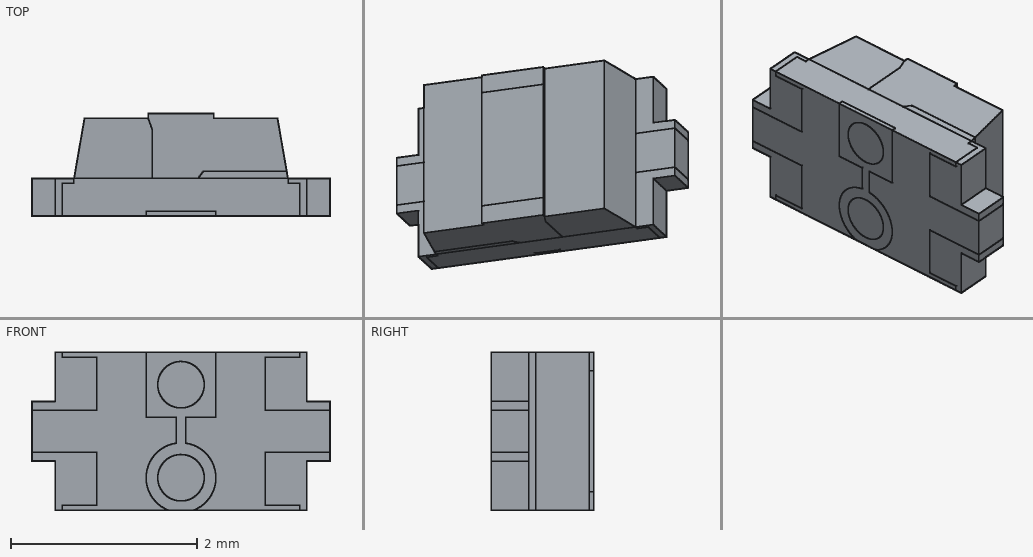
import cadquery as cq


length = 3.2
depth = 1.7
height = 1.1
half_length = length / 2
half_depth = depth / 2

board_thickness = 0.403
board_half_length = 1.35
tab_half_depth = 0.32

plating = 0.05
wall_thickness = 0.077
pad_inner_x = 0.902
pad_inner_z = 0.225
pad_edge_gap = 0.058
flange_inner_x = 1.15

mark_half_width = 0.375
mark_center_z = 0.5
window_radius = 0.25
mark_block_bottom = 0.15
neck_half_width = 0.05

ridge_height = 0.05
ridge_half_width = 0.352
cover_base_half = flange_inner_x
cover_top_half = 1.037
cover_top_y = height - ridge_height
seam_x = -0.307
seam_kink_y = 0.92
strip_height = 0.077
strip_foot_x = 0.182
strip_top_x = 0.24
strip_top_y = board_thickness + strip_height
insert_half_depth = 0.65


def block(x_range, y_range, z_range):
    """Box between two limits on each axis, given in either order."""
    (x0, x1), (y0, y1), (z0, z1) = (sorted(limits) for limits in (x_range, y_range, z_range))
    return cq.Workplane("XY").box(x1 - x0, y1 - y0, z1 - z0, centered=False).translate((x0, y0, z0))


def along_z(points):
    """Prism with an XY outline, running over the whole depth."""
    return cq.Workplane("XY").polyline(points).close().extrude(half_depth, both=True)


def plated_disc(radius, center_z):
    """Disc lying in the soldering face, as thick as the plating."""
    return (
        cq.Workplane("XZ", origin=(0, 0, center_z))
        .circle(radius)
        .extrude(-plating)
    )


def make_terminal(side_x, side_z):
    """Metal of one corner: end wall, tab edge, soldering pad and rear flange."""
    tab_end = side_x * half_length
    block_end = side_x * board_half_length
    wall_inner = side_x * (board_half_length - wall_thickness)
    through = (0, board_thickness)
    full_z = (side_z * pad_inner_z, side_z * half_depth)

    wall = block((block_end, wall_inner), through, full_z)
    tab_edge = block((tab_end, wall_inner), through, (side_z * pad_inner_z, side_z * tab_half_depth))
    pad = block(
        (block_end, side_x * pad_inner_x),
        (0, plating),
        (side_z * pad_inner_z, side_z * (half_depth - pad_edge_gap)),
    )
    flange = block(
        (block_end, side_x * flange_inner_x),
        (board_thickness - plating, board_thickness),
        full_z,
    )
    return wall.union(tab_edge).union(pad).union(flange)


def make_mark():
    """Inlaid plate: a square-cornered block joined by a neck to a round end, with a window in each."""
    thickness = (0, plating)
    plate = block((-mark_half_width, mark_half_width), thickness, (mark_block_bottom, half_depth))
    neck = block((-neck_half_width, neck_half_width), thickness, (-mark_center_z, mark_block_bottom))
    round_end = plated_disc(mark_half_width, -mark_center_z)
    on_board = block((-half_length, half_length), thickness, (-half_depth, half_depth))
    plate = plate.union(neck).union(round_end).intersect(on_board)
    for center_z in (-mark_center_z, mark_center_z):
        plate = plate.cut(plated_disc(window_radius, center_z))
    return plate


def make_board(inlays):
    """Block with an end tab at each side, recessed for the inlaid metal and mark."""
    thickness = (0, board_thickness)
    main = block((-board_half_length, board_half_length), thickness, (-half_depth, half_depth))
    tabs = block((-half_length, half_length), thickness, (-tab_half_depth, tab_half_depth))
    board = main.union(tabs)
    for inlay in inlays:
        board = board.cut(inlay)
    return board


def cover_side_x(y):
    """X of the cover's sloping +X side at height y."""
    rise = (y - board_thickness) / (cover_top_y - board_thickness)
    return cover_base_half + rise * (cover_top_half - cover_base_half)


def make_left_cover():
    return along_z([
        (-cover_base_half, board_thickness),
        (seam_x, board_thickness),
        (seam_x, seam_kink_y),
        (-ridge_half_width, cover_top_y),
        (-cover_top_half, cover_top_y),
    ])


def make_strip():
    """Low strip between the board and the right-hand cover."""
    return along_z([
        (strip_foot_x, board_thickness),
        (cover_base_half, board_thickness),
        (cover_side_x(strip_top_y), strip_top_y),
        (strip_top_x, strip_top_y),
    ])


def make_ridge_insert():
    """Middle stretch of the ridge."""
    return block(
        (-ridge_half_width, ridge_half_width),
        (cover_top_y, height),
        (-insert_half_depth, insert_half_depth),
    )


def make_right_cover(ridge_insert):
    """Larger cover half, carrying the two end stretches of the ridge."""
    cover = along_z([
        (seam_x, board_thickness),
        (strip_foot_x, board_thickness),
        (strip_top_x, strip_top_y),
        (cover_side_x(strip_top_y), strip_top_y),
        (cover_top_half, cover_top_y),
        (ridge_half_width, cover_top_y),
        (ridge_half_width, height),
        (-ridge_half_width, height),
        (-ridge_half_width, cover_top_y),
        (seam_x, seam_kink_y),
    ])
    return cover.cut(ridge_insert)


terminals = [make_terminal(side_x, side_z) for side_x in (-1, 1) for side_z in (-1, 1)]
mark = make_mark()
board = make_board([*terminals, mark])
left_cover = make_left_cover()
strip = make_strip()
ridge_insert = make_ridge_insert()
right_cover = make_right_cover(ridge_insert)

result = cq.Compound.makeCompound([
    board.val(),
    *[terminal.val() for terminal in terminals],
    mark.val(),
    left_cover.val(),
    right_cover.val(),
    strip.val(),
    ridge_insert.val(),
])